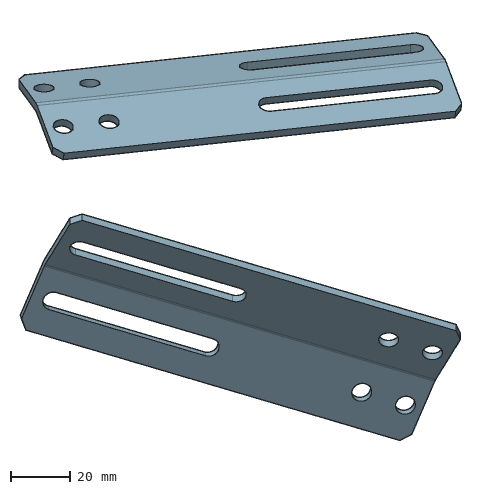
import cadquery as cq
import math

length = 142.9
total_width = 49.3
thickness = 3.0
bend_angle = 20.5
inner_radius = 2.0
outer_radius = inner_radius + thickness
sloping_width = 24.5

corner_across = 3.5
corner_along = 3.0
hole_diameter = 6.7
hole_edge_offset = 13.0
first_hole_offset = 6.1
hole_pitch = 16.0
slot_length = 64.0
slot_end_gap = 4.3

angle = math.radians(bend_angle)
bend_run = outer_radius * math.sin(angle)
bend_drop = outer_radius * (1 - math.cos(angle))
flat_width = total_width - bend_run - sloping_width * math.cos(angle)


def flange(width):
    """Flat flange with its bend edge at X = 0, free edge at X = -width and top at Z = 0."""
    half = length / 2
    blank = (
        cq.Workplane("XY")
        .polyline([
            (0, -half),
            (0, half),
            (corner_across - width, half),
            (-width, half - corner_along),
            (-width, corner_along - half),
            (corner_across - width, -half),
        ])
        .close()
        .extrude(-thickness)
    )
    row_x = hole_edge_offset - width
    hole_ys = [first_hole_offset - half + i * hole_pitch for i in range(2)]
    slot_y = half - slot_end_gap - slot_length / 2
    holes = (
        cq.Workplane("XY")
        .pushPoints([(row_x, y) for y in hole_ys])
        .circle(hole_diameter / 2)
        .extrude(-thickness)
    )
    slot = (
        cq.Workplane("XY")
        .center(row_x, slot_y)
        .slot2D(slot_length, hole_diameter, 90)
        .extrude(-thickness)
    )
    return blank.cut(holes).cut(slot)


def bend():
    """Curved strip joining the flanges, centred on the axis below the bend edge."""
    def arc_point(radius, turn):
        return radius * math.sin(turn), radius * math.cos(turn) - outer_radius

    return (
        cq.Workplane("XZ")
        .moveTo(*arc_point(outer_radius, 0))
        .threePointArc(arc_point(outer_radius, angle / 2), arc_point(outer_radius, angle))
        .lineTo(*arc_point(inner_radius, angle))
        .threePointArc(arc_point(inner_radius, angle / 2), arc_point(inner_radius, 0))
        .close()
        .extrude(length / 2, both=True)
    )


sloping_flange = (
    flange(sloping_width)
    .mirror("YZ")
    .rotate((0, 0, 0), (0, 1, 0), bend_angle)
    .translate((bend_run, 0, -bend_drop))
)

result = flange(flat_width).union(bend()).union(sloping_flange)